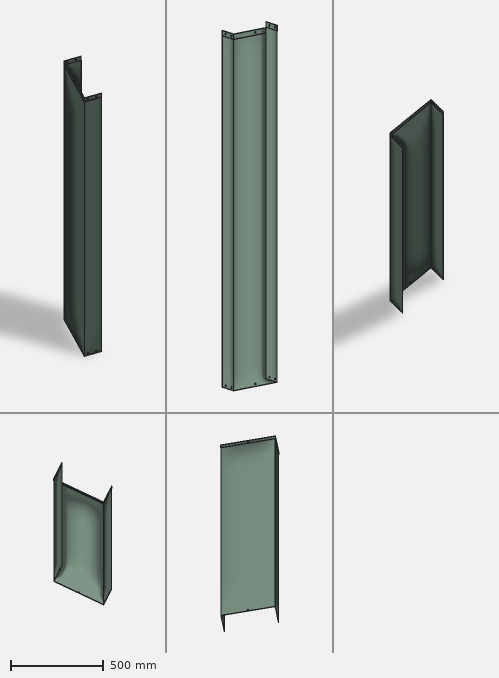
import cadquery as cq

sheet = 0.8
body_width = 300.0
body_depth = 100.0
length = 1999.0
socket_depth = 30.0
hole_diameter = 7.0
hole_end_distance = 15.0
side_hole_front_distance = 20.0
side_hole_spacing = 50.0
side_holes_per_row = 2

socket_growth = sheet
shelf_top = length - socket_depth
shelf_bottom = shelf_top - sheet
socket_front = -socket_growth
cut_overrun = 5.0


def block(growth, bottom, top):
    """Solid block of the body's outline, grown at the front and both sides but not at the back."""
    width = body_width + 2 * growth
    depth = body_depth + growth
    centre_y = body_depth - depth / 2
    return cq.Workplane("XY", origin=(0, centre_y, bottom)).rect(width, depth).extrude(top - bottom)


def channel():
    """U-shaped sheet channel with a wider socket on top, open at the back and at both ends."""
    outside = block(0, 0, shelf_bottom).union(block(socket_growth, shelf_bottom, length))
    inside = block(-sheet, 0, shelf_top).union(block(0, shelf_top, length))
    return outside.cut(inside)


def front_hole(z):
    """Cutter for the hole in the middle of the front wall."""
    start = cq.Vector(0, socket_front - cut_overrun, z)
    reach = socket_growth + sheet + 2 * cut_overrun
    return cq.Workplane(cq.Solid.makeCylinder(hole_diameter / 2, reach, start, cq.Vector(0, 1, 0)))


def side_hole(y, z):
    """Cutter for a pair of holes facing each other in the two side walls."""
    reach = body_width + 2 * (socket_growth + cut_overrun)
    start = cq.Vector(-reach / 2, y, z)
    return cq.Workplane(cq.Solid.makeCylinder(hole_diameter / 2, reach, start, cq.Vector(1, 0, 0)))


result = channel()
for hole_z in (hole_end_distance, length - hole_end_distance):
    result = result.cut(front_hole(hole_z))
    for index in range(side_holes_per_row):
        hole_y = socket_front + side_hole_front_distance + index * side_hole_spacing
        result = result.cut(side_hole(hole_y, hole_z))